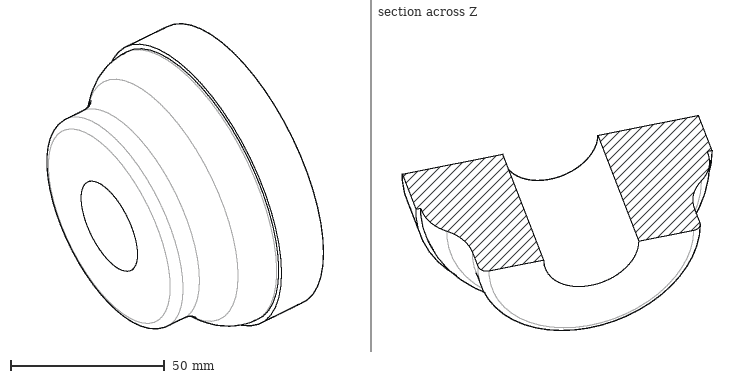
import cadquery as cq
import math

flange_radius = 50.0
total_length = 50.0
flange_length = 16.7
bore_radius = 16.0

shoulder_radius = 48.4
shoulder_end = 17.5
nose_radius = 37.5
nose_start = 40.5
nose_rounding = 3.0

curve_drop = (shoulder_radius - nose_radius) / 2
curve_run = (nose_start - shoulder_end) / 2
curve_radius = (curve_drop**2 + curve_run**2) / (2 * curve_drop)
half_angle = math.asin(curve_run / curve_radius) / 2
arc_mid_run = curve_radius * math.sin(half_angle)
arc_mid_drop = curve_radius * (1 - math.cos(half_angle))

half_section = (
    cq.Workplane("XY")
    .moveTo(bore_radius, 0)
    .lineTo(flange_radius, 0)
    .lineTo(flange_radius, -flange_length)
    .lineTo(shoulder_radius, -flange_length)
    .lineTo(shoulder_radius, -shoulder_end)
    .threePointArc(
        (shoulder_radius - arc_mid_drop, -shoulder_end - arc_mid_run),
        (shoulder_radius - curve_drop, -shoulder_end - curve_run),
    )
    .threePointArc(
        (nose_radius + arc_mid_drop, -nose_start + arc_mid_run),
        (nose_radius, -nose_start),
    )
    .lineTo(nose_radius, -total_length + nose_rounding)
    .radiusArc((nose_radius - nose_rounding, -total_length), nose_rounding)
    .lineTo(bore_radius, -total_length)
    .close()
)

result = half_section.revolve(360, (0, 0, 0), (0, 1, 0))